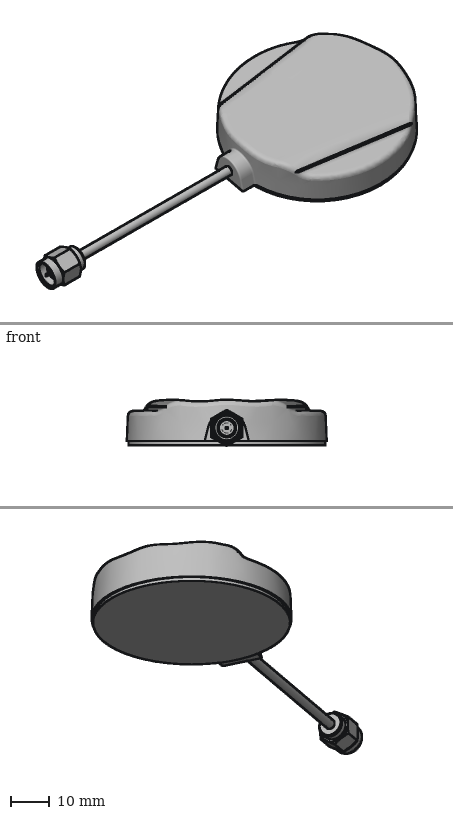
import cadquery as cq
import math

HEX_FLATS = 8.0
HEX_SIDES = 6
HEX_HALF_ANGLE = 180 / HEX_SIDES
HEX_CORNERS = HEX_FLATS / math.cos(math.radians(HEX_HALF_ANGLE))
OVERALL_HEIGHT = 11.91
AXIS_Z = 4.45
CREST_Z = OVERALL_HEIGHT + AXIS_Z - HEX_CORNERS / 2

BASE_RADIUS = 25.3
BASE_HEIGHT = 1.08
COVER_RADIUS = 51.37 / 2
COVER_DRAFT = 2.3
RIM_FILLET = 1.5
OVERALL_LENGTH = 115.5

WAVE_PITCH = 14.0
WAVE_DEPTH = 0.5
LOFT_STATIONS = 7
WAVE_SPANS = 20

FLANK_TOP_X, FLANK_TOP_SLOPE = 14.8, 0.173
VALLEY_X, VALLEY_SLOPE = 18.75, 0.146
SHELF_EDGE_X, SHELF_EDGE_SLOPE = 20.1, 0.140
VALLEY_Z = 9.85
STEP_FLOOR_Z = VALLEY_Z - 0.1
STEP_WIDTH = 0.3
SHELF_Z = 8.88

BOSS_END_Y = -29.2
BOSS_TOP_Z = 8.3
BOSS_RADIUS = 4.95
BOSS_FLANK_ANGLE = 14.0
BOSS_END_FILLET = 0.4
BOSS_ROOT_FILLET = 0.4

CABLE_RADIUS = 1.3
FERRULE_RADIUS = 3.3
FERRULE_CHAMFER = 0.3
FERRULE_START_Y = -79.3
NUT_START_Y = -81.5
NUT_END_Y = -87.3
NUT_CHAMFER_ANGLE = 30.0
COLLAR_RADIUS = 3.9
BORE_RADIUS = 3.2
BORE_CHAMFER = 0.4
BORE_DEPTH = 4.0
DIELECTRIC_RADIUS = 2.05
DIELECTRIC_RECESS = 2.0
SLEEVE_RADIUS = 2.4
SLEEVE_RECESS = 2.5
PIN_RADIUS = 0.3
CONNECTOR_END_Y = COVER_RADIUS - OVERALL_LENGTH

SEAM_TURN = 90
RIM_TOLERANCE = 0.1
OVERLAP = 0.5


def cylinder_along_cable(radius, start_y, end_y):
    """Cylinder on the cable axis, running towards -Y from start_y to end_y."""
    return (
        cq.Workplane("XZ", origin=(0, start_y, AXIS_Z))
        .circle(radius)
        .extrude(start_y - end_y)
    )


def base_plate():
    return cq.Workplane("XY").circle(BASE_RADIUS).extrude(BASE_HEIGHT)


def drafted_wall():
    """Tapered round body that bounds the cover."""
    return (
        cq.Workplane("XY", origin=(0, 0, BASE_HEIGHT))
        .circle(COVER_RADIUS)
        .extrude(CREST_Z, taper=COVER_DRAFT)
        .rotate((0, 0, 0), (0, 0, 1), SEAM_TURN)
    )


def wave_height(x):
    return CREST_Z - WAVE_DEPTH / 2 * (1 - math.cos(2 * math.pi * x / WAVE_PITCH))


def on_slanted_line(x_at_centre, slope, y):
    return x_at_centre + slope * y


def arc_middle(run, drop):
    """Middle of an arc that starts level and covers this run and drop: (along, down)."""
    radius = (run ** 2 + drop ** 2) / (2 * drop)
    half_angle = math.atan2(run, radius - drop) / 2
    return radius * math.sin(half_angle), radius * (1 - math.cos(half_angle))


def cover_outline(y):
    """Cross-section of the cover: wavy top, rounded flanks down to the valleys, hollow
    arcs out to the level shelves."""
    flank_x = on_slanted_line(FLANK_TOP_X, FLANK_TOP_SLOPE, y)
    valley_x = on_slanted_line(VALLEY_X, VALLEY_SLOPE, y)
    shelf_x = on_slanted_line(SHELF_EDGE_X, SHELF_EDGE_SLOPE, y)
    outer_x = 2 * COVER_RADIUS
    flank_z = wave_height(flank_x)
    flank_along, flank_down = arc_middle(valley_x - flank_x, flank_z - VALLEY_Z)
    hollow_along, hollow_up = arc_middle(shelf_x - valley_x, VALLEY_Z - SHELF_Z)
    flank_middle_x = flank_x + flank_along
    flank_middle_z = flank_z - flank_down
    hollow_middle_x = shelf_x - hollow_along
    hollow_middle_z = SHELF_Z + hollow_up

    wave_x = [flank_x * (2 * i / WAVE_SPANS - 1) for i in range(WAVE_SPANS + 1)]
    wave = [(x, wave_height(x)) for x in wave_x]
    return (
        cq.Workplane("XZ", origin=(0, y, 0))
        .moveTo(-outer_x, BASE_HEIGHT)
        .lineTo(-outer_x, SHELF_Z)
        .lineTo(-shelf_x, SHELF_Z)
        .threePointArc((-hollow_middle_x, hollow_middle_z), (-valley_x, VALLEY_Z))
        .threePointArc((-flank_middle_x, flank_middle_z), wave[0])
        .spline(wave[1:], tangents=[(1, 0), (1, 0)], includeCurrent=True)
        .threePointArc((flank_middle_x, flank_middle_z), (valley_x, VALLEY_Z))
        .threePointArc((hollow_middle_x, hollow_middle_z), (shelf_x, SHELF_Z))
        .lineTo(outer_x, SHELF_Z)
        .lineTo(outer_x, BASE_HEIGHT)
        .close()
        .wire()
        .val()
    )


def step_outline(y):
    """Strip cut out of the +X flank's foot, leaving a small upright step."""
    valley_x = on_slanted_line(VALLEY_X, VALLEY_SLOPE, y)
    return (
        cq.Workplane("XZ", origin=(0, y, 0))
        .moveTo(valley_x - STEP_WIDTH, STEP_FLOOR_Z)
        .lineTo(valley_x + STEP_WIDTH, STEP_FLOOR_Z)
        .lineTo(valley_x + STEP_WIDTH, CREST_Z)
        .lineTo(valley_x - STEP_WIDTH, CREST_Z)
        .close()
        .wire()
        .val()
    )


def loft_across_puck(outline):
    """Smooth loft of an outline from the cable side to the far side of the puck."""
    spacing = 2 * COVER_RADIUS / (LOFT_STATIONS - 1)
    stations = [-COVER_RADIUS + i * spacing for i in range(LOFT_STATIONS)]
    return cq.Workplane(cq.Solid.makeLoft([outline(y) for y in stations]))


def cover():
    body = drafted_wall().intersect(loft_across_puck(cover_outline))

    def on_rim(edge):
        middle = edge.positionAt(0.5)
        wall_radius = COVER_RADIUS - (middle.z - BASE_HEIGHT) * math.tan(math.radians(COVER_DRAFT))
        on_wall = abs(math.hypot(middle.x, middle.y) - wall_radius) < RIM_TOLERANCE
        return on_wall and edge.BoundingBox().zmin > SHELF_Z - RIM_TOLERANCE

    rim = [edge for edge in body.edges().vals() if on_rim(edge)]
    body = body.newObject(rim).fillet(RIM_FILLET)
    step = loft_across_puck(step_outline)
    return body.cut(step).cut(step.mirror("YZ"))


def boss():
    """Arched cable outlet with leaning flanks, its foot level with the base plate's top."""
    angle = math.radians(BOSS_FLANK_ANGLE)
    centre_z = BOSS_TOP_Z - BOSS_RADIUS
    tangent_x = BOSS_RADIUS * math.cos(angle)
    tangent_z = centre_z + BOSS_RADIUS * math.sin(angle)
    foot_x = tangent_x + (tangent_z - BASE_HEIGHT) * math.tan(angle)
    return (
        cq.Workplane("XZ")
        .moveTo(-foot_x, BASE_HEIGHT)
        .lineTo(-tangent_x, tangent_z)
        .threePointArc((0, BOSS_TOP_Z), (tangent_x, tangent_z))
        .lineTo(foot_x, BASE_HEIGHT)
        .close()
        .extrude(-BOSS_END_Y)
        .faces("<Y")
        .edges("not <Z")
        .fillet(BOSS_END_FILLET)
    )


def puck():
    """Base plate, cover and cable outlet, with a fillet where the outlet meets the cover."""
    body = cover().union(boss())
    corner = cq.selectors.BoxSelector(
        (-2 * BOSS_RADIUS, -COVER_RADIUS, BASE_HEIGHT + BOSS_ROOT_FILLET),
        (2 * BOSS_RADIUS, 0, BOSS_TOP_Z + BOSS_ROOT_FILLET),
    )
    body = body.edges(corner).fillet(BOSS_ROOT_FILLET)
    return body.union(base_plate())


def connector():
    ferrule = cylinder_along_cable(FERRULE_RADIUS, FERRULE_START_Y, NUT_START_Y - OVERLAP)
    ferrule = ferrule.faces(">Y").chamfer(FERRULE_CHAMFER)
    nut_length = NUT_START_Y - NUT_END_Y
    nut = (
        cq.Workplane("XZ", origin=(0, NUT_START_Y, AXIS_Z))
        .polygon(HEX_SIDES, HEX_CORNERS)
        .extrude(nut_length)
        .rotate((0, 0, AXIS_Z), (0, 1, AXIS_Z), HEX_HALF_ANGLE)
    )
    corner_height = (HEX_CORNERS - HEX_FLATS) / 2
    chamfer_length = corner_height * math.tan(math.radians(NUT_CHAMFER_ANGLE))
    turned_blank = cylinder_along_cable(HEX_CORNERS / 2, NUT_START_Y, NUT_END_Y)
    turned_blank = turned_blank.faces("<Y or >Y").chamfer(chamfer_length, corner_height)
    nut = nut.intersect(turned_blank)

    collar = cylinder_along_cable(COLLAR_RADIUS, NUT_END_Y + OVERLAP, CONNECTOR_END_Y)
    bore_floor_y = CONNECTOR_END_Y + BORE_DEPTH
    bore = cylinder_along_cable(BORE_RADIUS, bore_floor_y, CONNECTOR_END_Y)
    body = ferrule.union(nut).union(collar).cut(bore)
    bore_mouth = cq.selectors.RadiusNthSelector(0)
    body = body.faces("<Y").edges(bore_mouth).chamfer(BORE_CHAMFER)

    sleeve_end_y = CONNECTOR_END_Y + SLEEVE_RECESS
    sleeve = cylinder_along_cable(SLEEVE_RADIUS, bore_floor_y + OVERLAP, sleeve_end_y)
    dielectric_end_y = CONNECTOR_END_Y + DIELECTRIC_RECESS
    dielectric = cylinder_along_cable(DIELECTRIC_RADIUS, bore_floor_y + OVERLAP, dielectric_end_y)
    pin = cylinder_along_cable(PIN_RADIUS, bore_floor_y + OVERLAP, CONNECTOR_END_Y)
    return body.union(sleeve).union(dielectric).union(pin)


cable = cylinder_along_cable(CABLE_RADIUS, BOSS_END_Y + OVERLAP, FERRULE_START_Y - OVERLAP)
result = puck().union(cable).union(connector())